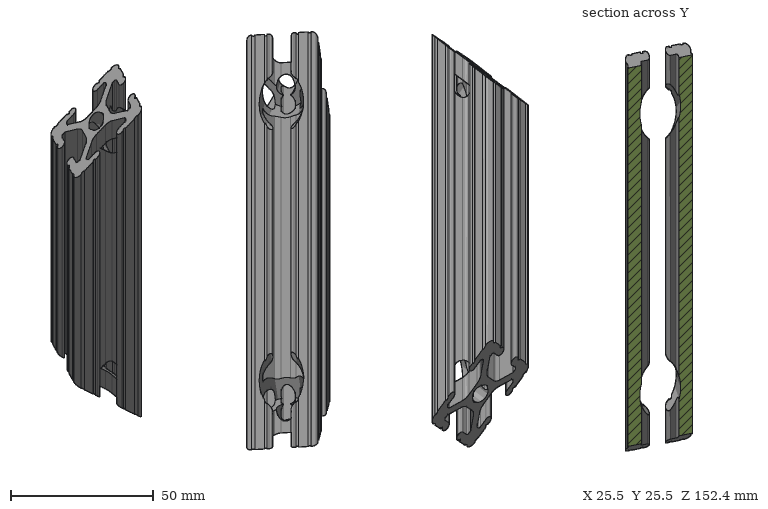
import cadquery as cq
import math

WIDTH = 25.5
LENGTH = 152.4
HALF = WIDTH / 2
CORNER_RADIUS = 2.0

SLOT_OPENING = 6.5
SLOT_HALF = SLOT_OPENING / 2
LIP_THICKNESS = 2.5
LIP_RADIUS = 1.19
CAVITY_HALF = 7.3
CAVITY_END = 1.4
CAVITY_RADIUS = 0.6
CORE_HALF = 4.5
FLOOR_RADIUS = 3.0
WEB_ANGLE = math.radians(45)

CORNER_GROOVE = (10.0, 1.2, 0.3)
LIP_GROOVE = (5.6, 0.9, 0.5)

BORE_RADIUS = 2.6

BOLT_RADIUS = 3.4
COUNTERBORE_RADIUS = 8.0
SEAT_THICKNESS = 6.4
TOOL_LENGTH = 2 * WIDTH


def slot_cutter():
    """T-slot opening toward +Y, with blended floor and rounded lip ends."""
    lip_inside = HALF - LIP_THICKNESS
    cavity_low = lip_inside - CAVITY_END
    web_offset = cavity_low - CAVITY_HALF
    floor_corner = CORE_HALF - web_offset
    blend = FLOOR_RADIUS * math.tan(WEB_ANGLE / 2)
    blend_step = blend * math.cos(WEB_ANGLE)
    arc_step = LIP_RADIUS * (1 - math.sqrt(0.5))

    half_slot = (
        cq.Workplane("XY")
        .moveTo(0, CORE_HALF)
        .lineTo(floor_corner - blend, CORE_HALF)
        .radiusArc((floor_corner + blend_step, CORE_HALF + blend_step), -FLOOR_RADIUS)
        .lineTo(CAVITY_HALF, cavity_low)
        .lineTo(CAVITY_HALF, lip_inside - CAVITY_RADIUS)
        .radiusArc((CAVITY_HALF - CAVITY_RADIUS, lip_inside), -CAVITY_RADIUS)
        .lineTo(SLOT_HALF + LIP_RADIUS, lip_inside)
        .threePointArc(
            (SLOT_HALF + arc_step, lip_inside + arc_step),
            (SLOT_HALF, lip_inside + LIP_RADIUS),
        )
        .lineTo(SLOT_HALF, HALF - LIP_RADIUS)
        .threePointArc((SLOT_HALF + arc_step, HALF - arc_step), (SLOT_HALF + LIP_RADIUS, HALF))
        .lineTo(0, HALF)
        .close()
        .extrude(LENGTH)
    )
    return half_slot.union(half_slot.mirror("YZ"))


def groove_cutters(position, width, depth):
    """Pair of round grooves in the +Y face, one on each side of the slot."""
    groove = (
        cq.Workplane("XY")
        .moveTo(position - width / 2, HALF)
        .threePointArc((position, HALF - depth), (position + width / 2, HALF))
        .close()
        .extrude(LENGTH)
    )
    return groove.union(groove.mirror("YZ"))


def extrusion():
    """Full-length square bar with its slots, grooves and bore."""
    bar = cq.Workplane("XY").rect(WIDTH, WIDTH).extrude(LENGTH)
    bar = bar.edges("|Z").fillet(CORNER_RADIUS)
    cutters = [slot_cutter(), groove_cutters(*CORNER_GROOVE), groove_cutters(*LIP_GROOVE)]
    for angle in (0, 90, 180, 270):
        for cutter in cutters:
            bar = bar.cut(cutter.rotate((0, 0, 0), (0, 0, 1), angle))
    return bar.cut(cq.Workplane("XY").circle(BORE_RADIUS).extrude(LENGTH))


def mitred_envelope():
    """Trapezoid prism: full length on the +Y side, shortened by the width on the -Y side."""
    return (
        cq.Workplane("YZ")
        .moveTo(HALF, 0)
        .lineTo(HALF, LENGTH)
        .lineTo(-HALF, LENGTH - WIDTH)
        .lineTo(-HALF, WIDTH)
        .close()
        .extrude(HALF, both=True)
    )


def bolt_hole_cutter():
    """Bolt hole and counterbore square to the upper mitre, the counterbore leaving on +Y."""
    mitre = cq.Plane(origin=(0, 0, LENGTH - HALF), xDir=(1, 0, 0), normal=(0, 1, -1))
    bolt_hole = cq.Workplane(mitre).circle(BOLT_RADIUS).extrude(TOOL_LENGTH)
    counterbore = (
        cq.Workplane(mitre)
        .workplane(offset=SEAT_THICKNESS)
        .circle(COUNTERBORE_RADIUS)
        .extrude(TOOL_LENGTH)
    )
    return bolt_hole.union(counterbore)


upper_hole = bolt_hole_cutter()
lower_hole = upper_hole.mirror("XY", (0, 0, LENGTH / 2))
result = extrusion().intersect(mitred_envelope()).cut(upper_hole).cut(lower_hole)